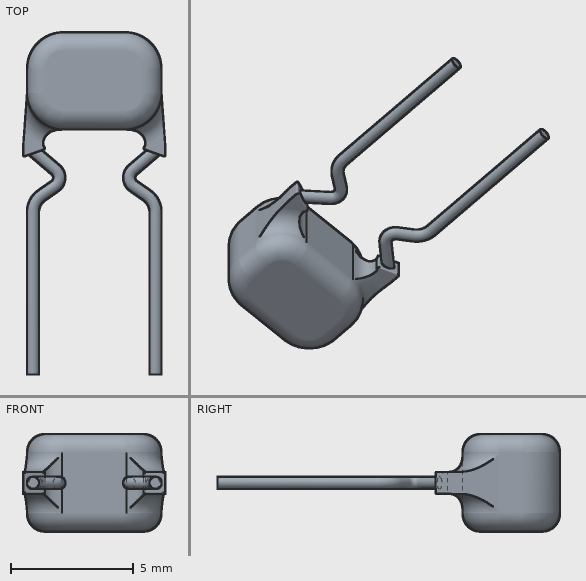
import cadquery as cq
import math

body_width = 5.5
body_depth = 3.99
body_height = 4.0
corner_radius = 1.5
edge_radius = 0.75

overall_width = 5.81
foot_half_height = 0.45
flare_radius = 0.75
foot_inner_x = 2.09
foot_inner_tip_x = 2.0
foot_inner_tip_y = -2.79
foot_outer_tip_y = -3.11
foot_bend_y = -2.69
foot_taper_end_y = -2.55
foot_taper_end_inset = 0.0052
inner_arc_start_x = 1.32
inner_arc_radius = 0.6
foot_edge_radius = 0.05

overall_depth = 14.0
lead_diameter = 0.5
lead_x = 2.5
lead_start = (2.59, -2.77)
first_corner = (1.16, -3.99)
second_corner = (lead_x, -4.93)
first_bend_radius = 0.42
second_bend_radius = 0.84

back_y = body_depth / 2
front_y = -body_depth / 2
side_x = body_width / 2
corner_x = side_x - corner_radius
corner_y = front_y + corner_radius
foot_outer_x = overall_width / 2
lead_end = (lead_x, back_y - overall_depth)


def make_body():
    block = cq.Workplane("XY").box(body_width, body_depth, body_height)
    block = block.edges("|Z").fillet(corner_radius)
    return block.faces("<Z or >Z").edges().fillet(edge_radius)


def make_flare():
    """Round hub about a body corner that sweeps down to the flat foot thickness."""
    hub_half_height = foot_half_height + flare_radius
    flat_start = corner_radius + flare_radius
    flat_end = 2 * flat_start
    blend = flare_radius * math.sqrt(0.5)
    arc_x = flat_start - blend
    arc_z = hub_half_height - blend
    return (
        cq.Workplane("XZ")
        .moveTo(0, -hub_half_height)
        .lineTo(corner_radius, -hub_half_height)
        .threePointArc((arc_x, -arc_z), (flat_start, -foot_half_height))
        .lineTo(flat_end, -foot_half_height)
        .lineTo(flat_end, foot_half_height)
        .lineTo(flat_start, foot_half_height)
        .threePointArc((arc_x, arc_z), (corner_radius, hub_half_height))
        .lineTo(0, hub_half_height)
        .close()
        .revolve(360, (0, 0), (0, 1))
        .translate((corner_x, corner_y, 0))
    )


def make_foot():
    """Foot on the +X side: a plan outline trimmed to the flare."""
    middle_inset = inner_arc_radius * (1 - math.sqrt(0.5))
    inner_arc_middle = (foot_inner_x - middle_inset, front_y - middle_inset)
    inner_arc_end = (foot_inner_x, front_y - inner_arc_radius)
    outline = (
        cq.Workplane("XY")
        .moveTo(inner_arc_start_x, corner_y)
        .lineTo(inner_arc_start_x, front_y)
        .spline([inner_arc_middle, inner_arc_end], tangents=[(1, 0), (0, -1)], includeCurrent=True)
        .lineTo(foot_inner_tip_x, foot_inner_tip_y)
        .lineTo(foot_outer_x, foot_outer_tip_y)
        .lineTo(foot_outer_x, foot_bend_y)
        .tangentArcPoint((foot_outer_x - foot_taper_end_inset, foot_taper_end_y), relative=False)
        .lineTo(side_x, corner_y)
        .close()
    )
    foot = outline.extrude(body_height / 2, both=True).intersect(make_flare())
    tip_middle = (
        (foot_outer_x + foot_inner_tip_x) / 2,
        (foot_outer_tip_y + foot_inner_tip_y) / 2,
        0,
    )
    tip_face = foot.faces(cq.selectors.NearestToPointSelector(tip_middle))
    return tip_face.edges().fillet(foot_edge_radius)


def bend(before, corner, after, radius):
    """Start, middle and end of the arc that rounds a corner of the lead path."""
    apex = cq.Vector(*corner)
    back = (cq.Vector(*before) - apex).normalized()
    ahead = (cq.Vector(*after) - apex).normalized()
    half_angle = back.getAngle(ahead) / 2
    trim = radius / math.tan(half_angle)
    to_middle = radius / math.sin(half_angle) - radius
    middle = apex + (back + ahead).normalized() * to_middle
    points = (apex + back * trim, middle, apex + ahead * trim)
    return [(point.x, point.y) for point in points]


def make_lead():
    """Lead on the +X side, swept from inside the foot to the free end."""
    first = bend(lead_start, first_corner, second_corner, first_bend_radius)
    second = bend(first_corner, second_corner, lead_end, second_bend_radius)
    path = (
        cq.Workplane("XY")
        .moveTo(*lead_start)
        .lineTo(*first[0])
        .threePointArc(first[1], first[2])
        .lineTo(*second[0])
        .threePointArc(second[1], second[2])
        .lineTo(*lead_end)
    )
    direction = cq.Vector(*first_corner) - cq.Vector(*lead_start)
    start_plane = cq.Plane(origin=(*lead_start, 0), normal=direction.toTuple())
    return cq.Workplane(start_plane).circle(lead_diameter / 2).sweep(path)


right_terminal = make_foot().union(make_lead())
left_terminal = right_terminal.mirror("YZ")
result = make_body().union(right_terminal).union(left_terminal)